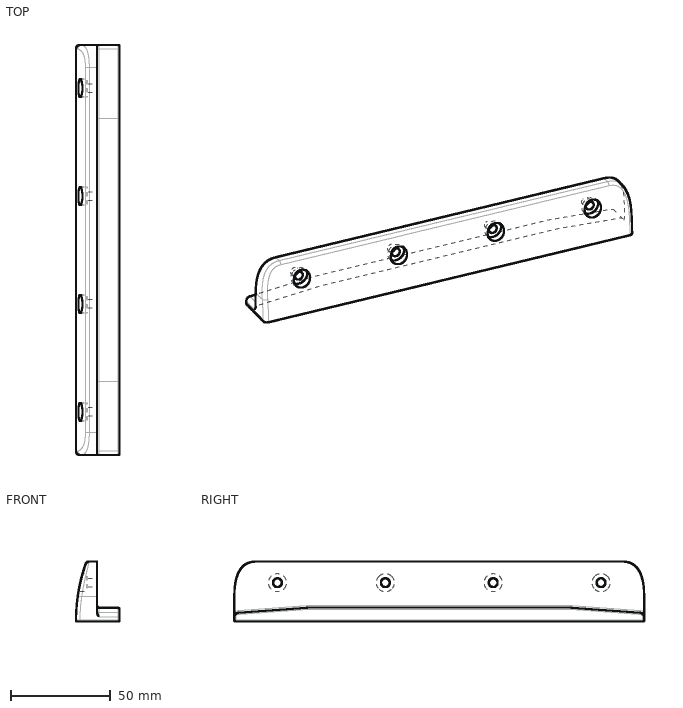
import cadquery as cq

length = 205.5
width = 22.0
height = 30.2
half_length = length / 2

wall_thickness = 10.7
bow_radius = 88.3
face_edge_fillet = 2.0

corner_start_height = 12.5
corner_length = 11.3
corner_side_pull = 14.2
corner_top_pull = 6.0

foot_height = 7.0
foot_end_height = 4.3
foot_level_half_length = 66.0
foot_end_fillet = 2.3
root_fillet = 1.0
outer_edge_fillet = 0.8

bottom_fillet = 0.8

hole_count = 4
hole_spacing = 54.0
hole_height = 19.5
hole_diameter = 4.3
counterbore_diameter = 9.0
counterbore_floor = 5.5


def bow_offset(z):
    """Distance of the bowed face from X = 0 at height z."""
    return bow_radius - (bow_radius**2 - z**2) ** 0.5


def make_wall():
    """Bowed wall profile trimmed to the end outline with rounded upper corners."""
    middle_height = height / 2
    profile = (
        cq.Workplane("XZ", origin=(0, half_length, 0))
        .threePointArc((bow_offset(middle_height), middle_height), (bow_offset(height), height))
        .lineTo(wall_thickness, height)
        .lineTo(wall_thickness, 0)
        .close()
        .extrude(length)
    )
    corner_end = half_length - corner_length
    outline = (
        cq.Workplane("YZ")
        .moveTo(-half_length, 0)
        .lineTo(-half_length, corner_start_height)
        .bezier([
            (-half_length, corner_start_height),
            (-half_length, corner_start_height + corner_side_pull),
            (-corner_end - corner_top_pull, height),
            (-corner_end, height),
        ])
        .lineTo(corner_end, height)
        .bezier([
            (corner_end, height),
            (corner_end + corner_top_pull, height),
            (half_length, corner_start_height + corner_side_pull),
            (half_length, corner_start_height),
        ])
        .lineTo(half_length, 0)
        .close()
        .extrude(wall_thickness)
    )
    face_edge_zone = cq.selectors.BoxSelector(
        (-2, -length, bottom_fillet),
        (bow_offset(height) + 0.2, length, height + 2),
    )
    wall = profile.intersect(outline)
    return wall.edges(face_edge_zone).fillet(face_edge_fillet)


def make_foot():
    """Flange starting inside the wall, with rounded ends and outer edge."""
    wall_overlap = wall_thickness / 2
    foot = (
        cq.Workplane("YZ", origin=(wall_overlap, 0, 0))
        .moveTo(-half_length, 0)
        .lineTo(-half_length, foot_end_height)
        .lineTo(-foot_level_half_length, foot_height)
        .lineTo(foot_level_half_length, foot_height)
        .lineTo(half_length, foot_end_height)
        .lineTo(half_length, 0)
        .close()
        .extrude(width - wall_overlap)
    )
    foot = foot.edges("|X and (<Y or >Y)").edges(">Z").fillet(foot_end_fillet)
    return foot.faces(">X").edges("not <Z").fillet(outer_edge_fillet)


def make_screw_holes():
    """Through holes with counterbores opening on the bowed face."""
    centers = [
        ((index - (hole_count - 1) / 2) * hole_spacing, hole_height)
        for index in range(hole_count)
    ]
    holes = cq.Workplane("YZ").pushPoints(centers).circle(hole_diameter / 2).extrude(wall_thickness)
    counterbores = (
        cq.Workplane("YZ").pushPoints(centers).circle(counterbore_diameter / 2).extrude(counterbore_floor)
    )
    return holes.union(counterbores)


body = make_wall().union(make_foot())

root_zone = cq.selectors.BoxSelector(
    (wall_thickness - 0.2, -half_length + foot_end_fillet, foot_end_height),
    (wall_thickness + 0.2, half_length - foot_end_fillet, foot_height + 0.2),
)
body = body.edges(root_zone).fillet(root_fillet)
body = body.faces("<Z").edges().fillet(bottom_fillet)

result = body.cut(make_screw_holes())